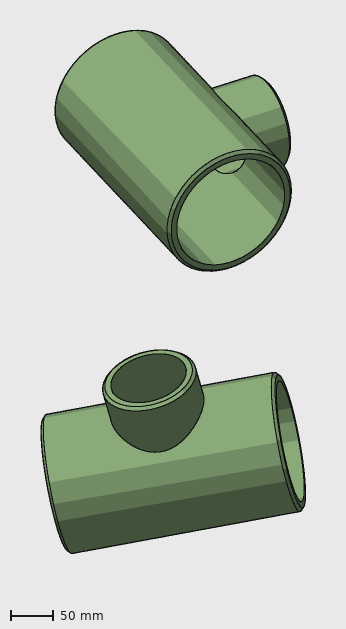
import cadquery as cq

run_length = 285.5
run_diameter = 168.5
wall = 11.0
run_radius = run_diameter / 2

branch_diameter = 114.2
branch_reach = 130.0

bevel = 3.7


def run_body():
    """Solid main cylinder, centred on the origin and bevelled at both ends."""
    pipe = cq.Workplane("YZ").circle(run_radius).extrude(run_length / 2, both=True)
    return pipe.faces("<X or >X").chamfer(bevel)


def branch_cylinder(diameter):
    """Cylinder from the main pipe axis to the branch end face."""
    return cq.Workplane("XZ").circle(diameter / 2).extrude(-branch_reach)


def run_bore():
    """Bore through the full length of the main pipe."""
    return cq.Workplane("YZ").circle(run_radius - wall).extrude(run_length / 2, both=True)


branch_body = branch_cylinder(branch_diameter).faces(">Y").chamfer(bevel)
branch_bore = branch_cylinder(branch_diameter - 2 * wall)

result = run_body().union(branch_body).cut(run_bore()).cut(branch_bore)